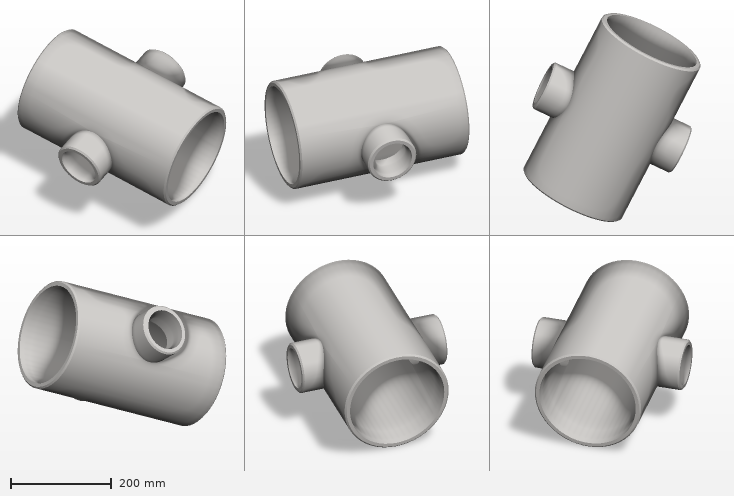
import cadquery as cq

run_length = 355.5
run_diameter = 219.0
run_bore = 198.5

branch_span = 304.7
branch_diameter = 101.7
branch_bore = 81.0

bevel_length = 3.2
bevel_depth = 3.2


def bevelled_bar(plane, diameter, length):
    """Solid round bar centred on the origin along local y of the plane, both ends bevelled."""
    radius = diameter / 2
    half_length = length / 2
    end_radius = radius - bevel_depth
    shoulder = half_length - bevel_length
    profile = [
        (0, -half_length),
        (end_radius, -half_length),
        (radius, -shoulder),
        (radius, shoulder),
        (end_radius, half_length),
        (0, half_length),
    ]
    return cq.Workplane(plane).polyline(profile).close().revolve(360, (0, 0), (0, 1))


def bore(plane, diameter, length):
    """Through-bore cutter centred on the origin along the plane normal."""
    return cq.Workplane(plane).circle(diameter / 2).extrude(length / 2, both=True)


run_plane = cq.Plane(origin=(0, 0, 0), xDir=(0, 1, 0), normal=(0, 0, -1))
run = bevelled_bar(run_plane, run_diameter, run_length)
branches = bevelled_bar("XY", branch_diameter, branch_span)

result = (
    run.union(branches)
    .cut(bore("YZ", run_bore, run_length))
    .cut(bore("XZ", branch_bore, branch_span))
)